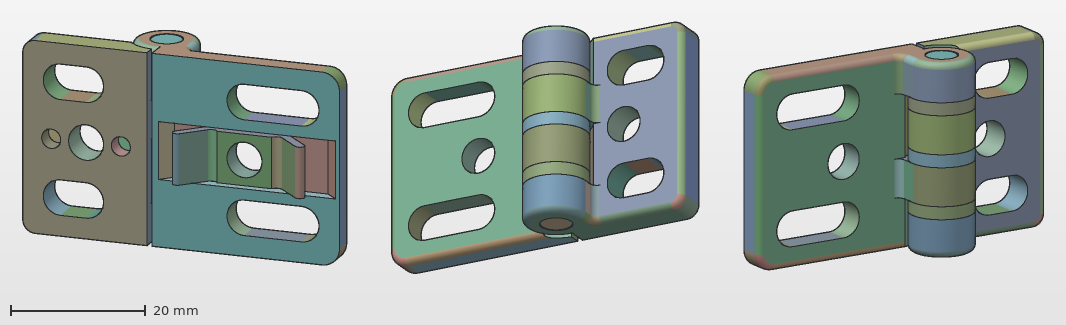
import cadquery as cq
import math

WIDTH = 50.0
HEIGHT = 30.0
MID_Z = HEIGHT / 2

PIN_X = 20.0
PIN_Y = 7.5
PIN_DIAMETER = 4.85
PIN_END_RADIUS = 0.2
BORE_DIAMETER = 5.0
BARREL_RADIUS = 5.0
KNUCKLE_COUNT = 4
KNUCKLE_HEIGHT = 6.0
LEFT_KNUCKLES = range(0, KNUCKLE_COUNT, 2)
RIGHT_KNUCKLES = range(1, KNUCKLE_COUNT, 2)
WASHER_COUNT = KNUCKLE_COUNT - 1
WASHER_HEIGHT = (HEIGHT - KNUCKLE_COUNT * KNUCKLE_HEIGHT) / WASHER_COUNT
KNUCKLE_PITCH = KNUCKLE_HEIGHT + WASHER_HEIGHT
BARREL_CLEARANCE_RADIUS = 5.5

LEAF_GAP = 0.8
LEFT_THICKNESS = 5.0
RIGHT_THICKNESS = 4.0
LEFT_CORNER_RADIUS = 2.0
RIGHT_CORNER_RADIUS = 2.75
RIM_RADIUS = 1.0
ROOT_RADIUS = 1.0

SCREW_DIAMETER = 5.5
SLOT_OFFSET_Z = 9.0
LEFT_SCREW_X = 10.0
LEFT_SLOT_TRAVEL = 4.0
RIGHT_SCREW_X = 35.0
RIGHT_SLOT_TRAVEL = 9.0

LOCATING_DIAMETER = 3.0
LOCATING_OFFSET = 5.5
LOCATING_DEPTH = 3.0

POCKET_DEPTH = 1.9
POCKET_START_X = 21.4
POCKET_END_X = 49.4
POCKET_HEIGHT = 9.0

PAD_HALF_LENGTH = 4.3
PRONG_HEIGHT = 8.0
PRONG_THICKNESS = 1.5
PRONG_REACH = 10.4
PRONG_PROJECTION = 3.25
GROOVE_START_Y = 0.25
PRONG_TIP_RADIUS = PRONG_THICKNESS / 2

SIN_45 = math.sqrt(0.5)

LEFT = -1
RIGHT = 1


def extrude_along_z(sketch, start, height):
    """Extrude a closed XY sketch upward from Z = start."""
    return sketch.extrude(height).translate((0, 0, start))


def pin_cylinder(diameter, start, height):
    circle = cq.Workplane("XY").center(PIN_X, PIN_Y).circle(diameter / 2)
    return extrude_along_z(circle, start, height)


def leaf_inner_x(side):
    return PIN_X + side * LEAF_GAP / 2


def knuckle_start(index):
    return index * KNUCKLE_PITCH


def flat_end(outline, side, thickness):
    """Back face running straight to the gap between the leaves."""
    return outline.lineTo(leaf_inner_x(side), thickness)


def knuckle_root(outline, side, thickness):
    """Back face curving up into a wall that is tangent to the barrel."""
    wall_x = PIN_X + side * BARREL_RADIUS
    bend = ROOT_RADIUS * (1 - SIN_45)
    return (
        outline.lineTo(wall_x + side * ROOT_RADIUS, thickness)
        .threePointArc((wall_x + side * bend, thickness + bend), (wall_x, thickness + ROOT_RADIUS))
        .lineTo(wall_x, PIN_Y)
        .lineTo(leaf_inner_x(side), PIN_Y)
    )


def leaf_plate(side, outer_x, thickness, corner_radius, draw_inner_end):
    """Rounded plate; draw_inner_end finishes its XY outline beside the pin."""
    outline = cq.Workplane("XY").moveTo(leaf_inner_x(side), 0)
    outline = outline.lineTo(outer_x, 0).lineTo(outer_x, thickness)
    plate = draw_inner_end(outline, side, thickness).close().extrude(HEIGHT)
    outer_face = "<X" if side == LEFT else ">X"
    plate = plate.faces(outer_face).edges("|Y").fillet(corner_radius)
    rim_point = ((outer_x + PIN_X) / 2, thickness, HEIGHT)
    return plate.edges(cq.selectors.NearestToPointSelector(rim_point)).fillet(RIM_RADIUS)


def leaf_with_knuckles(side, outer_x, thickness, corner_radius, indices):
    """Flat leaf cleared around the barrel, with its own knuckles added."""
    size = (side, outer_x, thickness, corner_radius)
    barrel = pin_cylinder(2 * BARREL_RADIUS, 0, HEIGHT).edges("%CIRCLE").fillet(RIM_RADIUS)
    rooted = leaf_plate(*size, knuckle_root).union(barrel)
    leaf = leaf_plate(*size, flat_end).cut(pin_cylinder(2 * BARREL_CLEARANCE_RADIUS, 0, HEIGHT))
    for index in indices:
        band = extrude_along_z(
            cq.Workplane("XY").rect(2 * WIDTH, 2 * WIDTH), knuckle_start(index), KNUCKLE_HEIGHT
        )
        leaf = leaf.union(rooted.intersect(band))
    return leaf.cut(pin_cylinder(BORE_DIAMETER, 0, HEIGHT))


def screw_openings(screw_x, travel, side, thickness):
    """Round hole at mid height and a slot above and below it."""
    hole = cq.Workplane("XZ").center(screw_x, MID_Z).circle(SCREW_DIAMETER / 2).extrude(-thickness)
    slots = (
        cq.Workplane("XZ")
        .center(screw_x + side * travel / 2, MID_Z)
        .pushPoints([(0, -SLOT_OFFSET_Z), (0, SLOT_OFFSET_Z)])
        .slot2D(travel + SCREW_DIAMETER, SCREW_DIAMETER)
        .extrude(-thickness)
    )
    return hole.union(slots)


def locating_holes():
    return (
        cq.Workplane("XZ")
        .center(LEFT_SCREW_X, MID_Z)
        .pushPoints([(-LOCATING_OFFSET, 0), (LOCATING_OFFSET, 0)])
        .circle(LOCATING_DIAMETER / 2)
        .extrude(-LOCATING_DEPTH)
    )


def pocket():
    outline = cq.Workplane("XY").polyline([
        (POCKET_START_X, 0),
        (POCKET_START_X + POCKET_DEPTH, POCKET_DEPTH),
        (POCKET_END_X - POCKET_DEPTH, POCKET_DEPTH),
        (POCKET_END_X, 0),
    ]).close()
    return extrude_along_z(outline, MID_Z - POCKET_HEIGHT / 2, POCKET_HEIGHT)


def pad_and_prong(side):
    """Half of the pad with its prong, joined by a round groove."""
    tip_x = PRONG_REACH - PRONG_TIP_RADIUS
    tip_y = -(PRONG_PROJECTION - PRONG_TIP_RADIUS)
    tip_offset = PRONG_TIP_RADIUS * SIN_45
    prong_span = PRONG_THICKNESS / SIN_45
    inner_line = tip_x + tip_y - prong_span / 2
    outer_line = inner_line + prong_span
    groove_x = inner_line - GROOVE_START_Y
    gap = groove_x - PAD_HALF_LENGTH
    groove_radius = (gap**2 + GROOVE_START_Y**2) / (2 * SIN_45 * (gap + GROOVE_START_Y))
    center_x = groove_x - groove_radius * SIN_45
    center_y = GROOVE_START_Y - groove_radius * SIN_45

    def at(x, y):
        return (RIGHT_SCREW_X + side * x, y)

    outline = (
        cq.Workplane("XY")
        .moveTo(*at(0, 0))
        .lineTo(*at(PAD_HALF_LENGTH, 0))
        .threePointArc(at(center_x, center_y + groove_radius), at(groove_x, GROOVE_START_Y))
        .lineTo(*at(tip_x - tip_offset, tip_y - tip_offset))
        .threePointArc(
            at(tip_x + tip_offset, tip_y - tip_offset),
            at(tip_x + tip_offset, tip_y + tip_offset),
        )
        .lineTo(*at(outer_line - POCKET_DEPTH, POCKET_DEPTH))
        .lineTo(*at(0, POCKET_DEPTH))
        .close()
    )
    return extrude_along_z(outline, MID_Z - PRONG_HEIGHT / 2, PRONG_HEIGHT)


def make_left_leaf():
    leaf = leaf_with_knuckles(LEFT, 0, LEFT_THICKNESS, LEFT_CORNER_RADIUS, LEFT_KNUCKLES)
    leaf = leaf.cut(screw_openings(LEFT_SCREW_X, LEFT_SLOT_TRAVEL, LEFT, LEFT_THICKNESS))
    return leaf.cut(locating_holes())


def make_right_leaf():
    leaf = leaf_with_knuckles(RIGHT, WIDTH, RIGHT_THICKNESS, RIGHT_CORNER_RADIUS, RIGHT_KNUCKLES)
    leaf = leaf.cut(pocket())
    leaf = leaf.union(pad_and_prong(LEFT)).union(pad_and_prong(RIGHT))
    return leaf.cut(screw_openings(RIGHT_SCREW_X, RIGHT_SLOT_TRAVEL, RIGHT, RIGHT_THICKNESS))


def make_pin():
    return pin_cylinder(PIN_DIAMETER, 0, HEIGHT).edges("%CIRCLE").fillet(PIN_END_RADIUS)


def make_washer(index):
    start = knuckle_start(index) + KNUCKLE_HEIGHT
    washer = pin_cylinder(2 * BARREL_RADIUS, start, WASHER_HEIGHT)
    return washer.cut(pin_cylinder(BORE_DIAMETER, start, WASHER_HEIGHT))


left_leaf = make_left_leaf()
right_leaf = make_right_leaf()
pin = make_pin()
washers = [make_washer(index) for index in range(WASHER_COUNT)]

result = cq.Compound.makeCompound(
    [left_leaf.val(), right_leaf.val(), pin.val(), *[washer.val() for washer in washers]]
)